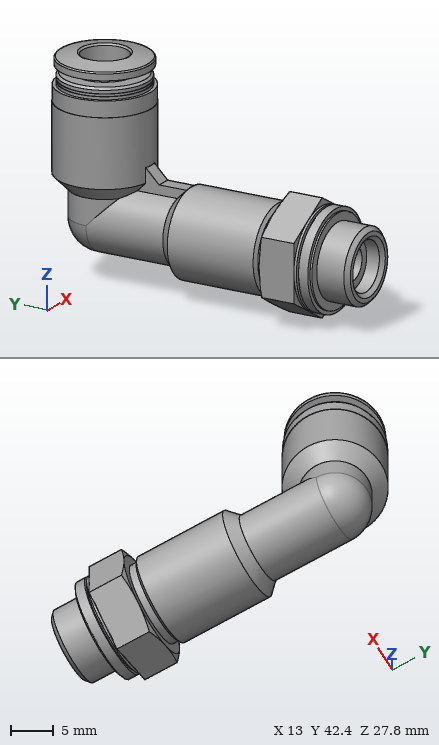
import cadquery as cq
import math


elbow_dia = 8.72
passage_dia = 4.3

socket_dia = 12.5
socket_cone_start = 3.47
socket_cone_end = 5.38
socket_step = 14.3
socket_rim_dia = 12.4
socket_top = 16.4
ring_dia = 11.5
ring_groove_dia = 11.35
ring_groove_bottom = 16.75
ring_groove_top = 17.1
ring_top = 17.87
ring_chamfer = 0.3

button_neck_dia = 7.5
button_flare = 0.2
button_bottom = 18.85
button_edge = 19.85
button_top = 20.33
button_dia = 12.0
button_chamfer = 0.15
button_mouth_dia = 6.5
tube_dia = 6.0
tube_seat = 5.95

sleeve_dia = 11.5
sleeve_cone_start = 10.5
sleeve_cone_end = 11.95
sleeve_end = 24.0
sleeve_end_chamfer = 0.35
sleeve_neck_dia = 10.5

hex_start = 24.95
hex_end = 29.7
hex_flats = 13.0
hex_chamfer = 0.35
collar_dia = 13.0
collar_step_dia = 12.0
back_rim_end = 30.03
washer_start = 30.32
washer_end = 31.6
collar_end = 31.85
spigot_dia = 9.75
spigot_chamfer = 0.55
spigot_end = 42.35 - socket_dia / 2
spigot_bore_dia = 6.5
spigot_bore_chamfer = 0.5
spigot_bore_depth = 2.25

rib_width = 2.0
rib_top = 5.5
rib_slope_foot = 8.0


def revolve_arm(profile):
    """Turn (radius, distance) points about Z, closing the outline on the axis."""
    first, last = profile[0][1], profile[-1][1]
    outline = [(0, first)] + profile + [(0, last)]
    return cq.Workplane("XZ").polyline(outline).close().revolve(360, (0, 0), (0, 1))


def lay_down(arm):
    """Swing an arm from +Z onto -Y."""
    return arm.rotate((0, 0, 0), (1, 0, 0), 90)


def make_socket():
    button_radius = button_dia / 2
    neck_radius = button_neck_dia / 2
    ring_radius = ring_dia / 2
    return revolve_arm([
        (elbow_dia / 2, 0),
        (elbow_dia / 2, socket_cone_start),
        (socket_dia / 2, socket_cone_end),
        (socket_dia / 2, socket_step),
        (socket_rim_dia / 2, socket_step),
        (socket_rim_dia / 2, socket_top),
        (ring_radius, socket_top),
        (ring_radius, ring_groove_bottom),
        (ring_groove_dia / 2, ring_groove_bottom),
        (ring_groove_dia / 2, ring_groove_top),
        (ring_radius, ring_groove_top),
        (ring_radius, ring_top - ring_chamfer),
        (ring_radius - ring_chamfer, ring_top),
        (neck_radius, ring_top),
        (neck_radius, button_bottom - button_flare),
        (neck_radius + button_flare, button_bottom),
        (button_radius, button_bottom),
        (button_radius, button_edge - button_chamfer),
        (button_radius - button_chamfer, button_edge),
        (button_mouth_dia / 2, button_top),
    ])


def make_sleeve():
    return lay_down(revolve_arm([
        (elbow_dia / 2, 0),
        (elbow_dia / 2, sleeve_cone_start),
        (sleeve_dia / 2, sleeve_cone_end),
        (sleeve_dia / 2, sleeve_end - sleeve_end_chamfer),
        (sleeve_neck_dia / 2, sleeve_end),
        (sleeve_neck_dia / 2, hex_start),
    ]))


def make_hexagon():
    corner_radius = hex_flats / 2 / math.cos(math.pi / 6)
    corners = []
    for i in range(6):
        angle = math.pi / 2 + i * math.pi / 3
        corners.append((corner_radius * math.cos(angle), corner_radius * math.sin(angle)))
    prism = cq.Workplane("XY").workplane(offset=hex_start).polyline(corners).close()
    prism = prism.extrude(hex_end - hex_start)
    envelope = revolve_arm([
        (hex_flats / 2, hex_start),
        (corner_radius, hex_start + hex_chamfer),
        (corner_radius, hex_end),
    ])
    return lay_down(prism.intersect(envelope))


def make_spigot():
    spigot_radius = spigot_dia / 2
    return lay_down(revolve_arm([
        (collar_dia / 2, hex_end),
        (collar_dia / 2, back_rim_end),
        (collar_step_dia / 2, back_rim_end),
        (collar_step_dia / 2, washer_start),
        (collar_dia / 2, washer_start),
        (collar_dia / 2, washer_end),
        (collar_step_dia / 2, washer_end),
        (collar_step_dia / 2, collar_end),
        (spigot_radius, collar_end),
        (spigot_radius, spigot_end - spigot_chamfer),
        (spigot_radius - spigot_chamfer, spigot_end),
    ]))


def make_rib():
    """Flat web along the sleeve arm, rising at 45 degrees to the socket."""
    slope_top = rib_top + rib_slope_foot
    outline = [
        (0, 0),
        (-sleeve_cone_end, 0),
        (-sleeve_cone_end, rib_top),
        (-rib_slope_foot, rib_top),
        (0, slope_top),
    ]
    return cq.Workplane("YZ").polyline(outline).close().extrude(rib_width / 2, both=True)


def make_tube_bore():
    mouth_chamfer = (button_mouth_dia - tube_dia) / 2
    return revolve_arm([
        (passage_dia / 2, 0),
        (passage_dia / 2, tube_seat),
        (tube_dia / 2, tube_seat),
        (tube_dia / 2, button_top - mouth_chamfer),
        (button_mouth_dia / 2, button_top),
    ])


def make_spigot_bore():
    bore_radius = spigot_bore_dia / 2
    return lay_down(revolve_arm([
        (passage_dia / 2, 0),
        (passage_dia / 2, spigot_end - spigot_bore_depth),
        (bore_radius, spigot_end - spigot_bore_depth),
        (bore_radius, spigot_end - spigot_bore_chamfer),
        (bore_radius + spigot_bore_chamfer, spigot_end),
    ]))


body = cq.Workplane("XY").sphere(elbow_dia / 2)
for piece in (make_socket(), make_sleeve(), make_hexagon(), make_spigot(), make_rib()):
    body = body.union(piece)

passage = cq.Workplane("XY").sphere(passage_dia / 2)
passage = passage.union(make_tube_bore()).union(make_spigot_bore())

result = body.cut(passage)